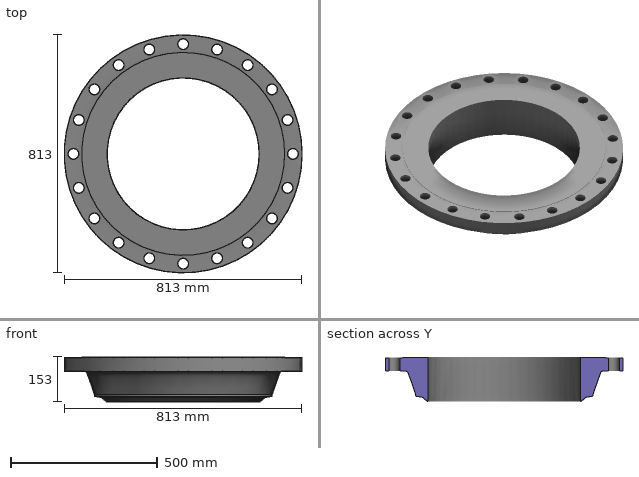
import cadquery as cq

flange_diameter = 813.0
total_height = 153.0
plate_thickness = 47.0

face_diameter = 692.5
face_height = 2.0

bore_diameter = 518.0
bolt_count = 20
bolt_circle_diameter = 749.0
bolt_hole_diameter = 36.0

hub_top_radius = 332.0
band_radius = 304.0
hub_height = 79.0
band_height = 6.5
root_fillet = 8.0

bevel_height = 15.0
bevel_top_radius = 280.0
bevel_bottom_radius = 262.0

plate_bottom = total_height - face_height - plate_thickness
plate_top = plate_bottom + plate_thickness
band_top = plate_bottom - hub_height
band_bottom = band_top - band_height


def make_body():
    """Revolve the solid outline of plate, hub and bevelled end about Z."""
    flange_radius = flange_diameter / 2
    face_radius = face_diameter / 2
    outline = [
        (0, 0),
        (bevel_bottom_radius, 0),
        (bevel_top_radius, bevel_height),
        (band_radius, band_bottom),
        (band_radius, band_top),
        (hub_top_radius, plate_bottom),
        (flange_radius, plate_bottom),
        (flange_radius, plate_top),
        (face_radius, plate_top),
        (face_radius, total_height),
        (0, total_height),
    ]
    return cq.Workplane("XZ").polyline(outline).close().revolve(360, (0, 0, 0), (0, 1, 0))


def blend_hub_root(body):
    """Fillet the corner where the hub meets the underside of the plate."""
    half_width = (hub_top_radius + flange_diameter / 2) / 2
    half_depth = root_fillet / 2
    root_box = cq.selectors.BoxSelector(
        (-half_width, -half_width, plate_bottom - half_depth),
        (half_width, half_width, plate_bottom + half_depth),
        boundingbox=True,
    )
    return body.edges(root_box).fillet(root_fillet)


def cut_holes(body):
    """Cut the bore and the ring of bolt holes right through."""
    bore = cq.Workplane("XY").circle(bore_diameter / 2).extrude(total_height)
    bolts = (
        cq.Workplane("XY")
        .polarArray(bolt_circle_diameter / 2, 0, 360, bolt_count)
        .circle(bolt_hole_diameter / 2)
        .extrude(total_height)
    )
    return body.cut(bore).cut(bolts)


result = cut_holes(blend_hub_root(make_body()))